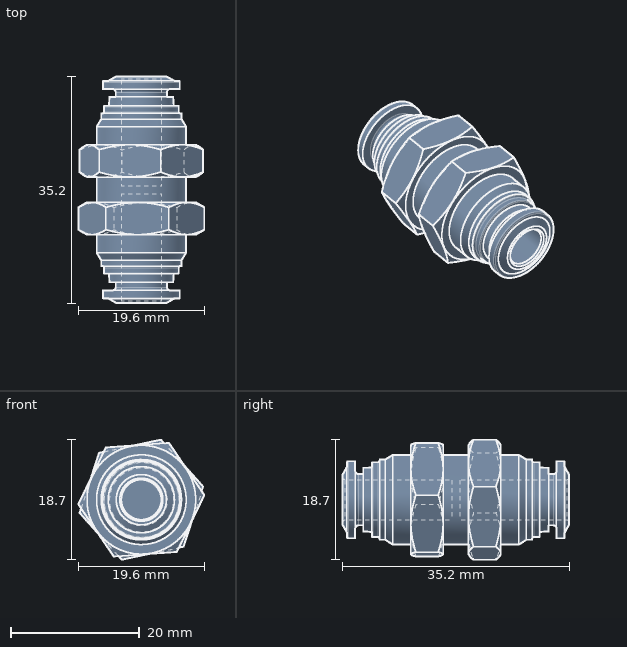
import cadquery as cq
import math


overall_length = 35.2
half_length = overall_length / 2
body_radius = 6.97

end_face_radius = 3.9
dome_base_radius = 5.15
dome_depth = 0.7
flange_radius = 6.0
flange_edge_fillet = 0.2
flange_back_depth = 1.98
neck_radius = 4.0
neck_fillet = 0.5

sleeve_depth = 3.2
sleeve_front_radius = 4.97
sleeve_back_radius = 5.05
collar_depth = 4.55
collar_radius = 5.82
collar_edge_fillet = 0.15
collar_root_fillet = 0.25
shoulder_depth = 5.75
shoulder_radius = 6.25
cone_depth = 6.65
body_depth = 7.8

bore_radius = 3.1
bore_mouth_radius = 3.35
bore_mouth_depth = 0.35
bore_depth = 17.0

across_flats = 17.0
corner_radius = across_flats / math.sqrt(3)
nut_thickness = 5.05
nut_depth = 10.6
nut_face_radius = 8.45
nut_chamfer_angle = 30.0
front_nut_turn = 4.1
back_nut_turn = 12.0


def revolve_about_y(profile):
    """Close a (radius, y) profile and revolve it about the Y axis."""
    return profile.close().revolve(360, (0, 0, 0), (0, 1, 0))


def y_at(depth):
    """Y of a point at the given depth from the +Y end face."""
    return half_length - depth


def make_end():
    """Solid +Y half of the body, from the end face to the middle plane."""
    profile = (
        cq.Workplane("XY")
        .moveTo(0, y_at(0))
        .lineTo(end_face_radius, y_at(0))
        .lineTo(dome_base_radius, y_at(dome_depth))
        .lineTo(flange_radius - flange_edge_fillet, y_at(dome_depth))
        .tangentArcPoint((flange_radius, y_at(dome_depth + flange_edge_fillet)), relative=False)
        .lineTo(flange_radius, y_at(flange_back_depth))
        .lineTo(neck_radius + neck_fillet, y_at(flange_back_depth))
        .tangentArcPoint((neck_radius, y_at(flange_back_depth + neck_fillet)), relative=False)
        .lineTo(neck_radius, y_at(sleeve_depth))
        .lineTo(sleeve_front_radius, y_at(sleeve_depth))
        .lineTo(sleeve_back_radius, y_at(collar_depth))
        .lineTo(collar_radius - collar_edge_fillet, y_at(collar_depth))
        .tangentArcPoint((collar_radius, y_at(collar_depth + collar_edge_fillet)), relative=False)
        .lineTo(collar_radius, y_at(shoulder_depth - collar_root_fillet))
        .tangentArcPoint((collar_radius + collar_root_fillet, y_at(shoulder_depth)), relative=False)
        .lineTo(shoulder_radius, y_at(shoulder_depth))
        .lineTo(shoulder_radius, y_at(cone_depth))
        .lineTo(body_radius, y_at(body_depth))
        .lineTo(body_radius, 0)
        .lineTo(0, 0)
    )
    return revolve_about_y(profile)


def make_bore():
    """Blind tube bore of the +Y end, with a chamfered mouth."""
    profile = (
        cq.Workplane("XY")
        .moveTo(0, y_at(0))
        .lineTo(bore_mouth_radius, y_at(0))
        .lineTo(bore_radius, y_at(bore_mouth_depth))
        .lineTo(bore_radius, y_at(bore_depth))
        .lineTo(0, y_at(bore_depth))
    )
    return revolve_about_y(profile)


def make_nut(turn, y_start):
    """Hex nut chamfered on both faces, one corner turned by `turn` degrees from +X towards +Z."""
    y_end = y_start + nut_thickness
    chamfer_length = (corner_radius - nut_face_radius) * math.tan(math.radians(nut_chamfer_angle))
    hexagon = (
        cq.Workplane("XZ", origin=(0, y_end, 0))
        .polygon(6, 2 * corner_radius)
        .extrude(nut_thickness)
        .rotate((0, 0, 0), (0, 1, 0), -turn)
    )
    envelope = revolve_about_y(
        cq.Workplane("XY")
        .moveTo(0, y_start)
        .lineTo(nut_face_radius, y_start)
        .lineTo(corner_radius, y_start + chamfer_length)
        .lineTo(corner_radius, y_end - chamfer_length)
        .lineTo(nut_face_radius, y_end)
        .lineTo(0, y_end)
    )
    return hexagon.intersect(envelope)


def with_opposite_half(half):
    """Join a +Y half to the same shape turned about X to the -Y end."""
    return half.union(half.rotate((0, 0, 0), (1, 0, 0), 180)).clean()


body = with_opposite_half(make_end())
bores = with_opposite_half(make_bore())
front_nut = make_nut(front_nut_turn, nut_depth - half_length)
back_nut = make_nut(back_nut_turn, half_length - nut_depth - nut_thickness)
result = body.union(front_nut).union(back_nut).cut(bores)